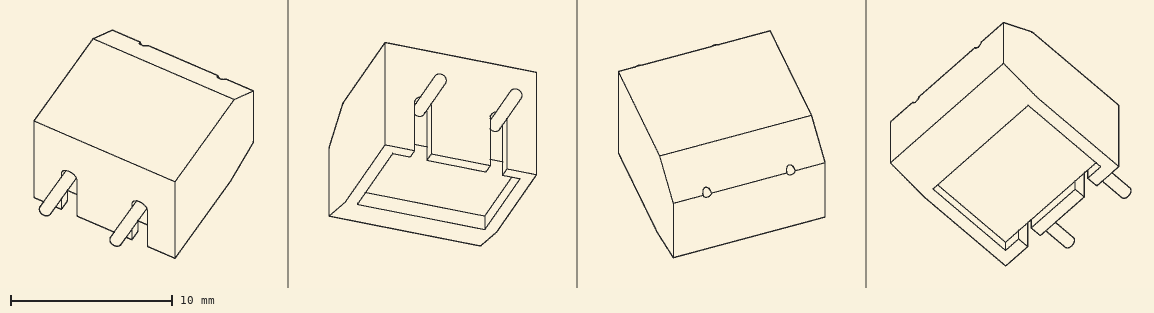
import cadquery as cq

width = 10.0
depth = 10.0
height = 7.5
top_bevel_run = 2.48
top_bevel_drop = 1.8
bottom_bevel_run = 2.92
bottom_bevel_rise = 0.69

pin_pitch = 5.0
pin_radius = 0.4
pin_height = 3.5
pin_length = 3.25
pin_tip_round = 0.2

slot_width = 1.1
wall = 0.8
pocket_height = 1.0

notch_pitch = 5.51
notch_radius = 0.26


def block():
    bevel_bottom = height - top_bevel_drop
    side_profile = [
        (0, 0),
        (depth - bottom_bevel_run, 0),
        (depth, bottom_bevel_rise),
        (depth, bevel_bottom),
        (depth - top_bevel_run, height),
        (0, height),
    ]
    return cq.Workplane("YZ").polyline(side_profile).close().extrude(width / 2, both=True)


def underside_pocket():
    pocket_depth = depth - bottom_bevel_run - wall
    return cq.Workplane("XY").box(
        width - 2 * wall, pocket_depth, pocket_height, centered=(True, False, False)
    ).translate((0, wall, 0))


def cylinder_along_y(x, y, z, radius, length):
    return cq.Workplane("XZ", origin=(x, y, z)).circle(radius).extrude(-length)


def pin_slot(x):
    straight = cq.Workplane("XY").box(
        slot_width, wall, pin_height, centered=(True, False, False)
    ).translate((x, 0, 0))
    return straight.union(cylinder_along_y(x, 0, pin_height, slot_width / 2, wall))


def pin(x):
    shaft = cylinder_along_y(x, -pin_length, pin_height, pin_radius, pin_length + 2 * wall)
    return shaft.faces("<Y").edges().fillet(pin_tip_round)


def rear_notch(x):
    start = depth - top_bevel_run / 2
    return cylinder_along_y(x, start, height - top_bevel_drop, notch_radius, top_bevel_run / 2)


result = block().cut(underside_pocket())
for side in (-1, 1):
    pin_x = side * pin_pitch / 2
    result = result.cut(pin_slot(pin_x)).union(pin(pin_x))
    result = result.cut(rear_notch(side * notch_pitch / 2))